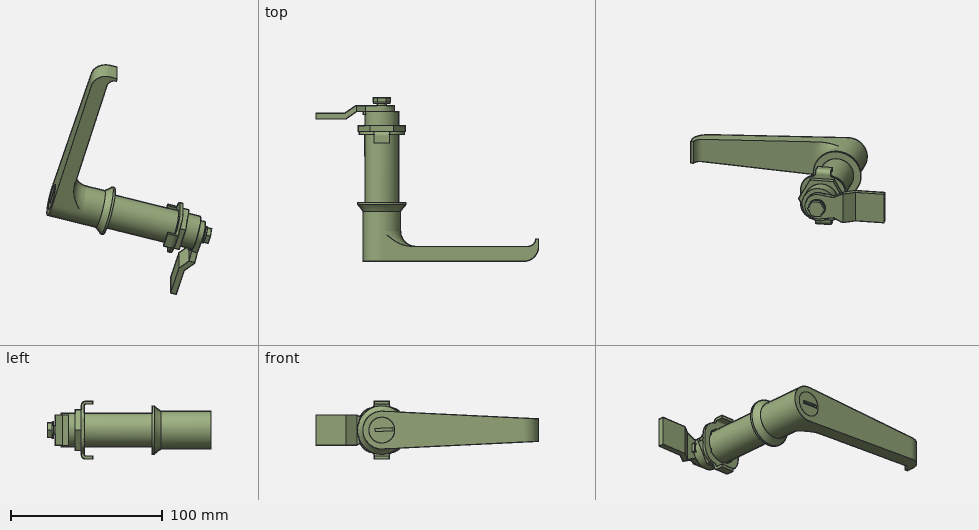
import cadquery as cq
import math


HUB_DIAMETER = 25.0
HUB_LENGTH = 33.1
ARM_TIP_X = 103.5
ARM_TIP_WIDTH = 15.0
ARM_THICKNESS = 10.0
ARM_ROOT_FILLET = 10.0
TIP_OUTER_RADIUS = 10.0
LIP_RISE = 5.0
LIP_THICKNESS = 2.0

PLUG_DIAMETER = 17.0
PLUG_LENGTH = 20.0
KEY_SLOT_LENGTH = 11.6
KEY_SLOT_WIDTH = 2.0
KEY_SLOT_DEPTH = 2.0
KEY_SLOT_CENTER = (1.5, 0.3)
KEY_SLOT_ANGLE = 2.5

TUBE_DIAMETER = 22.5
TUBE_END_Y = 99.0
BORE_DIAMETER = 16.8
FLANGE_DIAMETER = 32.0
FLANGE_COVE_LENGTH = 4.4
FLANGE_COVE_RADIUS = 17.6
FLANGE_RIM_THICKNESS = 1.5

LUG_REACH = 12.3
LUG_HEIGHT = 6.0
LUG_THICKNESS = 2.0
SCREW_HOLE_DEPTH = 14.7

NUT_ACROSS_FLATS = 27.0
NUT_THICKNESS = 4.0
NUT_START_Y = 85.7

WASHER_WIDTH = 30.0
WASHER_CORNER_RADIUS = 10.0
WASHER_THICKNESS = 2.0
WASHER_HOLE_DIAMETER = 24.0
WASHER_HOLE_FLATS = 18.8
TAB_WIDTH = 10.0
TAB_SPAN = 38.2
TAB_LENGTH = 7.6
TAB_BEND_RADIUS = 3.0
TAB_ROOT_FILLET = 2.0

CAM_THICKNESS = 4.0
CAM_REACH = 43.5
CAM_BLADE_WIDTH = 20.0
CAM_EYE_RADIUS = 8.5
CAM_OFFSET = 5.0
CAM_BEND_START_X = -24.4
CAM_BEND_END_X = -17.2
CAM_BEND_SHIFT = 0.7
CAM_SHOULDER_X = -16.6
CAM_WAIST_X = -10.6
CAM_WAIST_WIDTH = 14.1
CAM_HOLE_DIAMETER = 6.5

SCREW_DIAMETER = 6.0
SCREW_COLLAR_DIAMETER = 11.0
SCREW_COLLAR_THICKNESS = 1.0
SCREW_HEAD_ACROSS_FLATS = 10.0
SCREW_HEAD_HEIGHT = 3.0
SCREW_TOP_Y = 108.0

FLANGE_BACK_Y = HUB_LENGTH + FLANGE_COVE_LENGTH + FLANGE_RIM_THICKNESS
WASHER_START_Y = NUT_START_Y - WASHER_THICKNESS
CAM_END_Y = TUBE_END_Y + CAM_THICKNESS


def plane_at(y):
    """Sketch plane across the lock axis: local x is X, local y is Z."""
    return cq.Workplane("XZ", origin=(0, y, 0))


def rod(diameter, start_y, end_y):
    return plane_at(start_y).circle(diameter / 2).extrude(start_y - end_y)


def hexagon(across_flats, start_y, end_y):
    """Hexagonal prism with corners on +X and -X."""
    across_corners = across_flats / math.cos(math.radians(30))
    return plane_at(start_y).polygon(6, across_corners).extrude(start_y - end_y)


def block(x_range, y_range, height):
    """Box centred on Z = 0."""
    width = x_range[1] - x_range[0]
    depth = y_range[1] - y_range[0]
    return (
        cq.Workplane("XY")
        .box(width, depth, height, centered=(False, False, True))
        .translate((x_range[0], y_range[0], 0))
    )


def tangent_point(radius, point):
    """Upper point where a line from an outside point touches a circle about the origin."""
    x, z = point
    angle = math.atan2(z, x) + math.acos(radius / math.hypot(x, z))
    return radius * math.cos(angle), radius * math.sin(angle)


def make_arm():
    hub_radius = HUB_DIAMETER / 2
    tip_half_width = ARM_TIP_WIDTH / 2
    lip_top_y = ARM_THICKNESS + LIP_RISE
    lip_inner_x = ARM_TIP_X - LIP_THICKNESS

    profile = (
        cq.Workplane("XY")
        .lineTo(ARM_TIP_X - TIP_OUTER_RADIUS, 0)
        .radiusArc((ARM_TIP_X, TIP_OUTER_RADIUS), -TIP_OUTER_RADIUS)
        .lineTo(ARM_TIP_X, lip_top_y)
        .lineTo(lip_inner_x, lip_top_y)
        .radiusArc((lip_inner_x - LIP_RISE, ARM_THICKNESS), LIP_RISE)
        .lineTo(0, ARM_THICKNESS)
        .close()
        .extrude(hub_radius, both=True)
    )

    root_top_y = ARM_THICKNESS + ARM_ROOT_FILLET
    root = (
        cq.Workplane("XY")
        .lineTo(hub_radius + ARM_ROOT_FILLET, 0)
        .lineTo(hub_radius + ARM_ROOT_FILLET, ARM_THICKNESS)
        .radiusArc((hub_radius, root_top_y), ARM_ROOT_FILLET)
        .lineTo(0, root_top_y)
        .close()
        .revolve(360, (0, 0, 0), (0, 1, 0))
    )

    touch_x, touch_z = tangent_point(hub_radius, (ARM_TIP_X, tip_half_width))
    taper = (
        plane_at(0)
        .polyline([
            (0, -touch_z),
            (touch_x, -touch_z),
            (ARM_TIP_X, -tip_half_width),
            (ARM_TIP_X, tip_half_width),
            (touch_x, touch_z),
            (0, touch_z),
        ])
        .close()
        .extrude(-root_top_y)
    )
    return profile.union(root).intersect(taper)


def make_handle():
    hub = rod(HUB_DIAMETER, 0, HUB_LENGTH)
    plug_recess = rod(PLUG_DIAMETER, 0, PLUG_LENGTH)
    return hub.union(make_arm()).cut(plug_recess)


def make_plug():
    key_slot = (
        plane_at(0)
        .center(*KEY_SLOT_CENTER)
        .transformed(rotate=(0, 0, KEY_SLOT_ANGLE))
        .rect(KEY_SLOT_LENGTH, KEY_SLOT_WIDTH)
        .extrude(-KEY_SLOT_DEPTH)
    )
    return rod(PLUG_DIAMETER, 0, PLUG_LENGTH).cut(key_slot)


def make_lug():
    return block((-LUG_REACH, 0), (TUBE_END_Y - LUG_THICKNESS, TUBE_END_Y), LUG_HEIGHT)


def make_housing():
    flange_radius = FLANGE_DIAMETER / 2
    cove_end_y = HUB_LENGTH + FLANGE_COVE_LENGTH
    body = (
        cq.Workplane("XY")
        .moveTo(0, HUB_LENGTH)
        .lineTo(HUB_DIAMETER / 2, HUB_LENGTH)
        .radiusArc((flange_radius, cove_end_y), FLANGE_COVE_RADIUS)
        .lineTo(flange_radius, FLANGE_BACK_Y)
        .lineTo(TUBE_DIAMETER / 2, FLANGE_BACK_Y)
        .lineTo(TUBE_DIAMETER / 2, TUBE_END_Y)
        .lineTo(0, TUBE_END_Y)
        .close()
        .revolve(360, (0, 0, 0), (0, 1, 0))
    )
    bore = rod(BORE_DIAMETER, HUB_LENGTH, TUBE_END_Y)
    body = body.cut(bore).cut(make_lug())

    for side in (-1, 1):
        inner_x = side * WASHER_HOLE_FLATS / 2
        outer_x = side * TUBE_DIAMETER / 2
        notch_x = (min(inner_x, outer_x), max(inner_x, outer_x))
        body = body.cut(block(notch_x, (WASHER_START_Y, NUT_START_Y), TUBE_DIAMETER))
    return body


def make_spindle():
    screw_hole = rod(SCREW_DIAMETER, TUBE_END_Y - SCREW_HOLE_DEPTH, TUBE_END_Y)
    return rod(BORE_DIAMETER, HUB_LENGTH, TUBE_END_Y).union(make_lug()).cut(screw_hole)


def make_nut():
    nut_end_y = NUT_START_Y + NUT_THICKNESS
    nut = hexagon(NUT_ACROSS_FLATS, NUT_START_Y, nut_end_y)
    return nut.cut(rod(TUBE_DIAMETER, NUT_START_Y, nut_end_y))


def make_tab_section():
    """Flat web across Z with both ends bent toward the handle, as wide as the washer."""
    tab_end_y = NUT_START_Y - TAB_LENGTH
    inner_span = TAB_SPAN - 2 * WASHER_THICKNESS
    half_width = WASHER_WIDTH / 2
    outer = block((-half_width, half_width), (tab_end_y, NUT_START_Y), TAB_SPAN)
    inner = block((-half_width, half_width), (tab_end_y, WASHER_START_Y), inner_span)
    outer = outer.edges("|X and >Y").fillet(TAB_BEND_RADIUS)
    inner = inner.edges("|X and >Y").fillet(TAB_BEND_RADIUS - WASHER_THICKNESS)
    return outer.cut(inner)


def make_washer_outline():
    """Prism of the washer outline: a rounded square with a tab blended into each Z side."""
    half_tab = TAB_WIDTH / 2
    half_span = TAB_SPAN / 2
    corner_center = WASHER_WIDTH / 2 - WASHER_CORNER_RADIUS
    plate = (
        plane_at(NUT_START_Y)
        .rect(WASHER_WIDTH, WASHER_WIDTH)
        .extrude(TAB_LENGTH)
        .edges("|Y")
        .fillet(WASHER_CORNER_RADIUS)
    )

    flare_center_x = half_tab + TAB_ROOT_FILLET
    center_distance = WASHER_CORNER_RADIUS + TAB_ROOT_FILLET
    center_rise = math.sqrt(center_distance**2 - (flare_center_x - corner_center) ** 2)
    flare_top_z = corner_center + center_rise
    share = WASHER_CORNER_RADIUS / center_distance
    flare_x = corner_center + share * (flare_center_x - corner_center)
    flare_z = corner_center + share * center_rise
    tab = (
        plane_at(NUT_START_Y)
        .moveTo(-flare_x, 0)
        .lineTo(-flare_x, flare_z)
        .radiusArc((-half_tab, flare_top_z), -TAB_ROOT_FILLET)
        .lineTo(-half_tab, half_span)
        .lineTo(half_tab, half_span)
        .lineTo(half_tab, flare_top_z)
        .radiusArc((flare_x, flare_z), -TAB_ROOT_FILLET)
        .lineTo(flare_x, 0)
        .close()
        .extrude(TAB_LENGTH)
    )
    return plate.union(tab).union(tab.mirror("XY"))


def make_washer():
    hole = rod(WASHER_HOLE_DIAMETER, WASHER_START_Y, NUT_START_Y)
    half_flats = WASHER_HOLE_FLATS / 2
    flats = block((-half_flats, half_flats), (WASHER_START_Y, NUT_START_Y), WASHER_HOLE_DIAMETER)
    return make_tab_section().intersect(make_washer_outline()).cut(hole.intersect(flats))


def make_cam():
    blade_y = TUBE_END_Y - CAM_OFFSET
    bend_end_low_x = CAM_BEND_END_X + CAM_BEND_SHIFT
    bend_start_low_x = CAM_BEND_START_X + CAM_BEND_SHIFT
    crank = (
        cq.Workplane("XY")
        .polyline([
            (-CAM_REACH, blade_y),
            (bend_start_low_x, blade_y),
            (bend_end_low_x, TUBE_END_Y),
            (CAM_EYE_RADIUS, TUBE_END_Y),
            (CAM_EYE_RADIUS, CAM_END_Y),
            (CAM_BEND_END_X, CAM_END_Y),
            (CAM_BEND_START_X, blade_y + CAM_THICKNESS),
            (-CAM_REACH, blade_y + CAM_THICKNESS),
        ])
        .close()
        .extrude(CAM_BLADE_WIDTH / 2, both=True)
    )

    half_blade = CAM_BLADE_WIDTH / 2
    half_waist = CAM_WAIST_WIDTH / 2
    touch_x, touch_z = tangent_point(CAM_EYE_RADIUS, (-CAM_WAIST_X, half_waist))
    outline = (
        plane_at(blade_y)
        .moveTo(-CAM_REACH, -half_blade)
        .lineTo(CAM_SHOULDER_X, -half_blade)
        .lineTo(CAM_WAIST_X, -half_waist)
        .lineTo(-touch_x, -touch_z)
        .threePointArc((CAM_EYE_RADIUS, 0), (-touch_x, touch_z))
        .lineTo(CAM_WAIST_X, half_waist)
        .lineTo(CAM_SHOULDER_X, half_blade)
        .lineTo(-CAM_REACH, half_blade)
        .close()
        .extrude(blade_y - CAM_END_Y)
    )
    return crank.intersect(outline).cut(rod(CAM_HOLE_DIAMETER, TUBE_END_Y, CAM_END_Y))


def make_screw():
    head_y = SCREW_TOP_Y - SCREW_HEAD_HEIGHT
    head = hexagon(SCREW_HEAD_ACROSS_FLATS, head_y, SCREW_TOP_Y)
    collar = rod(SCREW_COLLAR_DIAMETER, head_y - SCREW_COLLAR_THICKNESS, head_y)
    shank = rod(SCREW_DIAMETER, TUBE_END_Y - SCREW_HOLE_DEPTH, head_y)
    return head.union(collar).union(shank)


handle = make_handle()
plug = make_plug()
housing = make_housing()
spindle = make_spindle()
nut = make_nut()
washer = make_washer()
cam = make_cam()
screw = make_screw()

result = cq.Compound.makeCompound([
    handle.val(),
    plug.val(),
    housing.val(),
    spindle.val(),
    nut.val(),
    washer.val(),
    cam.val(),
    screw.val(),
])